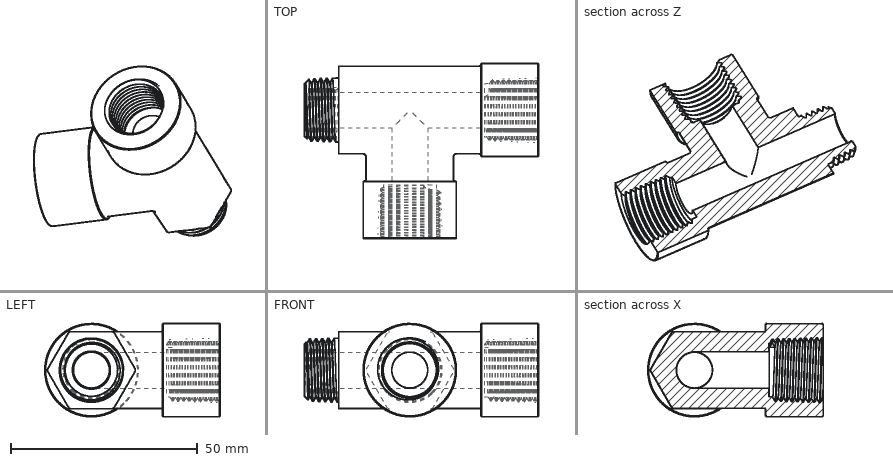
import cadquery as cq
import math

HEX_ACROSS_FLATS = 20.6
HEX_EDGE_FILLET = 0.8
HEX_REACH = 19.0

COLLAR_DIAMETER = 25.0
COLLAR_LENGTH = 15.5
COLLAR_CHAMFER = 0.25
COLLAR_ROOT_FILLET = 0.3

SPIGOT_LENGTH = 9.2
SPIGOT_TIP_RADIUS = 7.0

BORE_DIAMETER = 9.6
BORE_CHAMFER = 0.3

SPIGOT_THREAD_PITCH = 1.65
SOCKET_THREAD_PITCH = 1.48
THREAD_DEPTH = 1.1
THREAD_ANGLE = 60.0
THREAD_ROOT_FLAT = 0.2
RADIUS_TAPER = 1 / 32
SPIGOT_THREAD_RADIUS = 8.6
SPIGOT_THREAD_START = 0.93
SPIGOT_THREAD_TURNS = 6.0
SOCKET_THREAD_RADIUS = 7.55
SOCKET_THREAD_LEAD_ANGLE = 30.0
SOCKET_THREAD_TURNS = 10.25
SOCKET_DEPTH = 14.5
CUTTER_OVERHANG = 1.0

EDGE_TOLERANCE = 0.01

COLLAR_RADIUS = COLLAR_DIAMETER / 2
COLLAR_END = HEX_REACH + COLLAR_LENGTH
SPIGOT_END = HEX_REACH + SPIGOT_LENGTH

SPIGOT_ARM = cq.Plane(origin=(0, 0, 0), xDir=(0, 1, -1), normal=(-1, 0, 0))
RUN_ARM = cq.Plane(origin=(0, 0, 0), xDir=(0, 1, 0), normal=(1, 0, 0))
BRANCH_ARM = cq.Plane(origin=(0, 0, 0), xDir=(1, 0, 0), normal=(0, -1, 0))
SOCKET_ARMS = (RUN_ARM, BRANCH_ARM)


def hex_bar(arm, start, end):
    """Hexagonal bar along a socket arm, with flats facing up and down."""
    corner_diameter = HEX_ACROSS_FLATS / math.cos(math.radians(30))
    return cq.Workplane(arm).workplane(offset=start).polygon(6, corner_diameter).extrude(end - start)


def cone(arm, start, end, start_radius, end_radius):
    """Round length of an arm, tapering between two radii; equal radii make a cylinder."""
    if start_radius == end_radius:
        return cq.Workplane(arm).workplane(offset=start).circle(start_radius).extrude(end - start)
    base = arm.toWorldCoords((0, 0, start))
    return cq.Workplane(cq.Solid.makeCone(start_radius, end_radius, end - start, base, arm.zDir))


def thread_cutter(start_plane, crest_radius, groove_side, pitch, turns):
    """Tapered helical cutter that starts on the plane's X axis and narrows along its normal.

    groove_side is -1 for a groove cut inwards (male) and +1 for one cut outwards (female).
    The section is widest at the threaded surface, with the flat thread root on one side and
    a blunt point in the open space on the other.
    """
    root_radius = crest_radius + groove_side * THREAD_DEPTH
    clear_radius = crest_radius - groove_side * CUTTER_OVERHANG
    half_root = THREAD_ROOT_FLAT / 2
    half_width = half_root + THREAD_DEPTH * math.tan(math.radians(THREAD_ANGLE / 2))
    section = [
        (root_radius, half_root),
        (crest_radius, half_width),
        (clear_radius, 0),
        (crest_radius, -half_width),
        (root_radius, -half_root),
    ]
    taper_angle = math.degrees(math.atan(RADIUS_TAPER))
    helix = cq.Wire.makeHelix(pitch, turns * pitch, crest_radius, angle=-taper_angle)
    cutter = cq.Workplane("XZ").polyline(section).close().sweep(cq.Workplane(helix), isFrenet=True)
    return cq.Workplane(cutter.val().moved(start_plane.location))


def tee_body():
    run = hex_bar(RUN_ARM, -HEX_REACH, HEX_REACH)
    branch = hex_bar(BRANCH_ARM, 0, HEX_REACH)
    return run.union(branch).edges("not(<X or >X or <Y)").fillet(HEX_EDGE_FILLET)


def add_collar(part, arm):
    """Round collar on a shoulder, with chamfered rims and a fillet around the hexagon."""
    collar = cone(arm, HEX_REACH, COLLAR_END, COLLAR_RADIUS, COLLAR_RADIUS).edges().chamfer(COLLAR_CHAMFER)
    reach = COLLAR_RADIUS - 2 * COLLAR_CHAMFER
    low = arm.toWorldCoords((-reach, -reach, HEX_REACH - EDGE_TOLERANCE))
    high = arm.toWorldCoords((reach, reach, HEX_REACH + EDGE_TOLERANCE))
    root_edges = cq.selectors.BoxSelector(low.toTuple(), high.toTuple(), boundingbox=True)
    return part.union(collar).edges(root_edges).fillet(COLLAR_ROOT_FILLET)


def threaded_spigot():
    end_radius = SPIGOT_THREAD_RADIUS - SPIGOT_LENGTH * RADIUS_TAPER
    taper = cone(SPIGOT_ARM, HEX_REACH, SPIGOT_END, SPIGOT_THREAD_RADIUS, end_radius)
    chamfer_base_radius = SPIGOT_TIP_RADIUS + SPIGOT_LENGTH
    lead_chamfer = cone(SPIGOT_ARM, HEX_REACH, SPIGOT_END, chamfer_base_radius, SPIGOT_TIP_RADIUS)
    groove_start = SPIGOT_ARM.toWorldCoords((0, 0, HEX_REACH + SPIGOT_THREAD_START))
    start = cq.Plane(groove_start, SPIGOT_ARM.xDir, SPIGOT_ARM.zDir)
    start_radius = SPIGOT_THREAD_RADIUS - SPIGOT_THREAD_START * RADIUS_TAPER
    groove = thread_cutter(start, start_radius, -1, SPIGOT_THREAD_PITCH, SPIGOT_THREAD_TURNS)
    return taper.intersect(lead_chamfer).cut(groove)


def cut_socket(part, arm):
    """Tapered threaded hole from the end of a collar."""
    floor_radius = SOCKET_THREAD_RADIUS - SOCKET_DEPTH * RADIUS_TAPER
    hole = cone(arm, COLLAR_END - SOCKET_DEPTH, COLLAR_END, floor_radius, SOCKET_THREAD_RADIUS)
    start = cq.Plane(arm.toWorldCoords((0, 0, COLLAR_END + SOCKET_THREAD_PITCH)), -arm.xDir, -arm.zDir)
    start = start.rotated((0, 0, SOCKET_THREAD_LEAD_ANGLE))
    start_radius = SOCKET_THREAD_RADIUS + SOCKET_THREAD_PITCH * RADIUS_TAPER
    groove = thread_cutter(start, start_radius, 1, SOCKET_THREAD_PITCH, SOCKET_THREAD_TURNS)
    return part.cut(hole).cut(groove)


def cut_bores(part):
    """Through bore along the run, and the branch bore that meets it."""
    radius = BORE_DIAMETER / 2
    part = part.cut(cone(RUN_ARM, -SPIGOT_END, COLLAR_END, radius, radius))
    part = part.cut(cone(BRANCH_ARM, 0, COLLAR_END, radius, radius))
    return part.faces("<X").edges(cq.selectors.RadiusNthSelector(0)).chamfer(BORE_CHAMFER)


result = tee_body()
for socket_arm in SOCKET_ARMS:
    result = add_collar(result, socket_arm)
result = result.union(threaded_spigot())
for socket_arm in SOCKET_ARMS:
    result = cut_socket(result, socket_arm)
result = cut_bores(result)